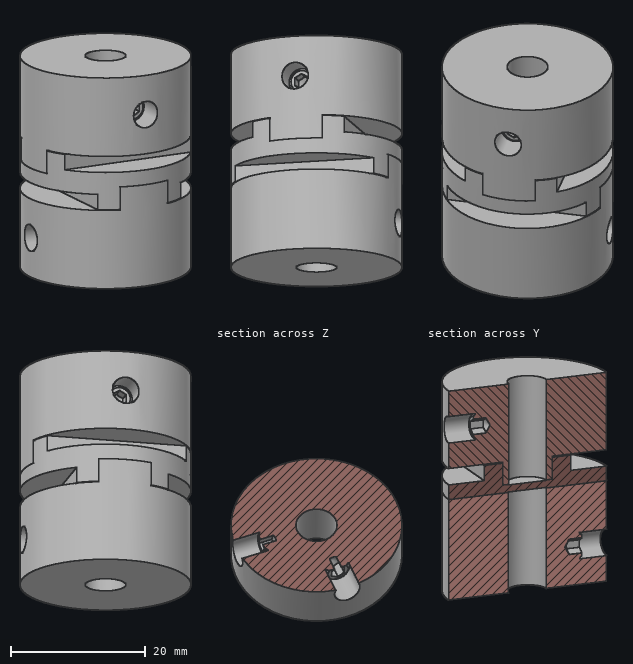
import cadquery as cq
import math

outer_diameter = 25.4
total_height = 32.4
hub_height = 12.05
bore_diameter = 6.03

tongue_width = 8.0
tongue_height = 3.55

rib_width = 14.0
rib_clearance = 0.1
flange_thickness = 3.37

screw_diameter = 4.02
screw_height = hub_height / 2
screw_face_radius = 8.75
screw_chamfer = 0.4
socket_width = 2.0
socket_depth = 2.0
socket_cone_angle = 118.0

outer_radius = outer_diameter / 2
middle_height = total_height / 2
disc_height = total_height - 2 * (hub_height + rib_clearance)
slot_depth = tongue_height - rib_clearance
rib_height = (disc_height - flange_thickness) / 2


def cylinder(diameter, height, base=0.0):
    return cq.Workplane("XY").workplane(offset=base).circle(diameter / 2).extrude(height)


def bar_along_x(width, height, base):
    """Bar on the axis, long enough to cross the whole coupling along X."""
    return (
        cq.Workplane("XY").workplane(offset=base).rect(2 * outer_diameter, width).extrude(height)
    )


def screw_hole():
    """Radial hole along -X from the screw face out through the rim."""
    return (
        cq.Workplane("YZ", origin=(-outer_diameter, 0, screw_height))
        .circle(screw_diameter / 2)
        .extrude(outer_diameter - screw_face_radius)
    )


def screw_chamfer_groove():
    """Ring left between the hole wall and the chamfered rim of the screw."""
    face_radius = screw_diameter / 2 - screw_chamfer
    return (
        cq.Workplane("XZ")
        .moveTo(-screw_face_radius, screw_height + face_radius)
        .lineTo(-screw_face_radius, screw_height + screw_diameter / 2)
        .lineTo(-screw_face_radius + screw_chamfer, screw_height + screw_diameter / 2)
        .close()
        .revolve(360, (0, screw_height, 0), (1, screw_height, 0))
    )


def screw_socket():
    """Hexagonal socket with corners up and down, ending in a cone."""
    corner_radius = socket_width / math.sqrt(3)
    cone_depth = corner_radius / math.tan(math.radians(socket_cone_angle / 2))
    hexagon = (
        cq.Workplane("YZ", origin=(-screw_face_radius, 0, screw_height))
        .polygon(6, 2 * corner_radius)
        .extrude(socket_depth + cone_depth)
        .rotate((0, 0, screw_height), (1, 0, screw_height), 90)
    )
    drill = (
        cq.Workplane("XZ")
        .moveTo(-screw_face_radius, screw_height)
        .lineTo(-screw_face_radius, screw_height + corner_radius)
        .lineTo(-screw_face_radius + socket_depth, screw_height + corner_radius)
        .lineTo(-screw_face_radius + socket_depth + cone_depth, screw_height)
        .close()
        .revolve(360, (0, screw_height, 0), (1, screw_height, 0))
    )
    return hexagon.intersect(drill)


def make_hub():
    """Hub standing on Z = 0: tongue along X, set screws on the -X and -Y sides."""
    tongue = bar_along_x(tongue_width, tongue_height, hub_height)
    tongue = tongue.intersect(cylinder(outer_diameter, total_height))
    hub = cylinder(outer_diameter, hub_height).union(tongue)
    hub = hub.cut(cylinder(bore_diameter, total_height))
    for cutter in (screw_hole(), screw_chamfer_groove(), screw_socket()):
        for angle in (0, 90):
            hub = hub.cut(cutter.rotate((0, 0, 0), (0, 0, 1), angle))
    return hub


def make_disc():
    """Disc with its lower rib along X and its upper rib along Y, both slotted lengthwise."""
    base = hub_height + rib_clearance
    top = base + disc_height
    body = cylinder(outer_diameter, flange_thickness, base + rib_height)
    lower_rib = bar_along_x(rib_width, rib_height, base)
    upper_rib = bar_along_x(rib_width, rib_height, top - rib_height).rotate((0, 0, 0), (0, 0, 1), 90)
    lower_slot = bar_along_x(tongue_width, slot_depth, base)
    upper_slot = bar_along_x(tongue_width, slot_depth, top - slot_depth).rotate((0, 0, 0), (0, 0, 1), 90)
    body = body.union(lower_rib).union(upper_rib)
    body = body.intersect(cylinder(outer_diameter, total_height))
    return body.cut(lower_slot).cut(upper_slot)


lower_hub = make_hub()

upper_hub = make_hub().rotate((0, 0, middle_height), (0.32, -0.32, middle_height), 180)

disc = make_disc()

result = cq.Compound.makeCompound([lower_hub.val(), upper_hub.val(), disc.val()])